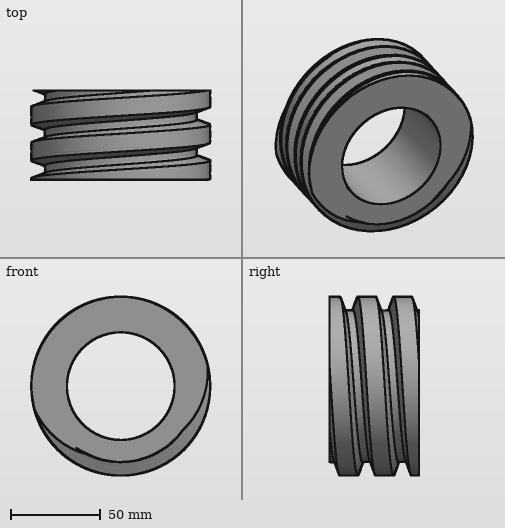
import cadquery as cq
import math

outer_diameter = 100.0
width = 50.0
bore_diameter = 60.0
pitch = 20.0
groove_depth = 7.5
groove_root_width = 4.5
flank_angle = 20.0
groove_offset = 0.8

outer_radius = outer_diameter / 2
root_radius = outer_radius - groove_depth
flank_width = groove_depth * math.tan(math.radians(flank_angle))

degrees_per_unit = 360 / pitch
root_half_angle = groove_root_width / 2 * degrees_per_unit
flank_sweep = flank_width * degrees_per_unit
mouth_half_angle = root_half_angle + flank_sweep
start_angle = (-width / 2 - groove_offset) * degrees_per_unit

end_plane = cq.Plane(origin=(0, -width / 2, 0), xDir=(-1, 0, 0), normal=(0, 1, 0))


def polar(radius, angle):
    """Section point at an angle in degrees from the groove centre at the -Y end."""
    turned = math.radians(start_angle + angle)
    return (radius * math.cos(turned), radius * math.sin(turned))


def rising_flank(t):
    """Spiral from the root up to the outer surface as t goes from 0 to 1."""
    return polar(root_radius + groove_depth * t, root_half_angle + flank_sweep * t)


def falling_flank(t):
    """Spiral from the outer surface down to the root as t goes from 0 to 1."""
    return polar(outer_radius - groove_depth * t, flank_sweep * t - mouth_half_angle)


def make_worm():
    """Single-start right-handed thread: a cross-section twisted along the axis."""
    section = (
        cq.Workplane(end_plane)
        .moveTo(*polar(root_radius, -root_half_angle))
        .threePointArc(polar(root_radius, 0), polar(root_radius, root_half_angle))
        .parametricCurve(rising_flank, makeWire=False)
        .moveTo(*polar(outer_radius, mouth_half_angle))
        .threePointArc(polar(outer_radius, 180), polar(outer_radius, -mouth_half_angle))
        .parametricCurve(falling_flank, makeWire=False)
        .wire()
    )
    return section.twistExtrude(width, width * degrees_per_unit)


def make_bore():
    """Through bore along the axis."""
    return cq.Workplane(end_plane).circle(bore_diameter / 2).extrude(width)


result = make_worm().cut(make_bore())